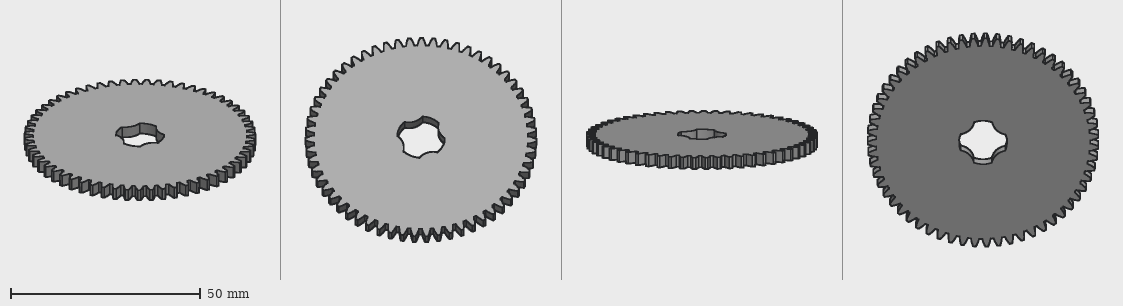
import cadquery as cq
import math

outer_size = 61.0
thickness = 3.1
tooth_count = 59
pressure_angle = math.radians(20)
dedendum_factor = 1.25
flank_points = 5

bore_radius = 6.35
lobe_gap = 10.1
lobe_radius = 4.5
lobe_count = 4

tooth_pitch = 2 * math.pi / tooth_count


def polar(radius, angle):
    return (radius * math.cos(angle), radius * math.sin(angle))


def involute(angle):
    return math.tan(angle) - angle


def half_tooth_angle(radius_ratio):
    """Angle from the tooth centre line to its involute flank, at a multiple of the pitch radius."""
    flank_angle = math.acos(math.cos(pressure_angle) / radius_ratio)
    return tooth_pitch / 4 + involute(pressure_angle) - involute(flank_angle)


tip_ratio = 1 + 2 / tooth_count
root_ratio = 1 - 2 * dedendum_factor / tooth_count

tip_radius = outer_size / 2 / math.cos(tooth_pitch / 4 - half_tooth_angle(tip_ratio))
pitch_radius = tip_radius / tip_ratio
root_radius = pitch_radius * root_ratio


def flank_point(ratio, tooth_centre, side):
    """Point on a tooth flank; side is -1 before the tooth centre and +1 after it."""
    return polar(pitch_radius * ratio, tooth_centre + side * half_tooth_angle(ratio))


def gear_blank():
    ratio_step = (tip_ratio - root_ratio) / (flank_points - 1)
    flank_ratios = [root_ratio + i * ratio_step for i in range(flank_points)]
    outline = cq.Workplane("XY").moveTo(*flank_point(root_ratio, 0, -1))
    for tooth in range(tooth_count):
        centre = tooth * tooth_pitch
        rising = [flank_point(ratio, centre, -1) for ratio in flank_ratios]
        falling = [flank_point(ratio, centre, 1) for ratio in reversed(flank_ratios)]
        gap_middle = polar(root_radius, centre + tooth_pitch / 2)
        next_tooth = flank_point(root_ratio, centre + tooth_pitch, -1)
        outline = outline.spline(rising[1:], includeCurrent=True)
        outline = outline.threePointArc(polar(tip_radius, centre), falling[0])
        outline = outline.spline(falling[1:], includeCurrent=True)
        outline = outline.threePointArc(gap_middle, next_tooth)
    return outline.close().extrude(thickness)


def lobed_bore():
    lobe_centre = lobe_gap / 2 + lobe_radius
    lobes = (
        cq.Workplane("XY")
        .polarArray(lobe_centre, 0, 360, lobe_count)
        .circle(lobe_radius)
        .extrude(thickness)
    )
    return cq.Workplane("XY").circle(bore_radius).extrude(thickness).cut(lobes)


result = gear_blank().cut(lobed_bore())